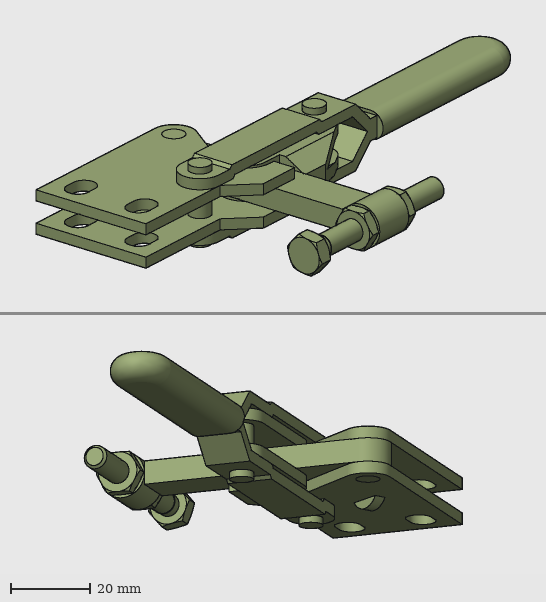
import cadquery as cq
import math


total_length = 152.8
total_width = 76.0
sheet = 3.0
lug_radius = 6.0
pin_radius = 3.0
pin_half_length = 11.0
arm_half = sheet
plate_top = arm_half + sheet
handle_top = plate_top + sheet

base_width = 35.0
base_height = 55.0
tab_right = 43.0
tab_top = 50.9
tab_bottom = 38.0
tab_chamfer_bottom = 30.5
clearance_radius = 7.3
slot_xs = (8.0, 27.2)
slot_y = 8.2
slot_length = 9.3
slot_width = 6.7
disc_radius = 5.2
disc_bottom = -8.5
disc_x, disc_y = 12.2, 29.0
disc_angle = 59.0

arm_pivot = (lug_radius, base_height - lug_radius)
handle_x = base_width - lug_radius
handle_pivot = (handle_x, 30.0)
link_low_pivot = (handle_x, arm_pivot[1])
link_high_pivot = (handle_x, 77.0)

web_fold_x = 37.0
web_fold_angle = 30.0
web_corner_y = 63.7

grip_radius = 8.0
grip_half_thickness = 4.0
grip_bottom = 95.0
neck_end = 92.4
leg_bend = math.radians(45)
raise_height = 0.9
raise_top = 72.4
raise_bottom = 34.5

sleeve_radius = 6.0
spindle_x = total_width - sleeve_radius
sleeve_bottom = base_height - 2 * lug_radius
nut_thickness = 3.2
nut_corner_radius = 6.0
bolt_radius = 3.0
shank_radius = 2.9
bolt_top = 74.0
bolt_chamfer = 0.69
thread_bottom = 27.0
head_top = 23.8
head_height = 4.3
head_corner_radius = 5.7
head_turn = 10.0
hex_chamfer = 0.8
chamfer_angle = 30.0


def polar(centre, radius, angle):
    """Point on a circle; the angle is in radians."""
    return (centre[0] + radius * math.cos(angle), centre[1] + radius * math.sin(angle))


def pin(centre, half_length):
    """Round pin along Z, centred on Z = 0."""
    return cq.Workplane("XY").center(*centre).circle(pin_radius).extrude(half_length, both=True)


def both_sides(half):
    """Add the mirror image below Z = 0."""
    return half.union(half.mirror("XY"))


def along_y(x, y):
    """Workplane on the axis (x, z = 0) at height y, extruding towards +Y."""
    return cq.Workplane(cq.Plane(origin=(x, y, 0), xDir=(1, 0, 0), normal=(0, 1, 0)))


def base_plate():
    spacing = link_low_pivot[0] - arm_pivot[0]
    slope = math.asin((lug_radius + clearance_radius) / spacing)
    corner_angle = math.pi / 2 - slope
    hollow_angle = corner_angle - math.pi
    hollow_start = polar(link_low_pivot, clearance_radius, 0)
    return (
        cq.Workplane("XY", origin=(0, 0, arm_half))
        .lineTo(base_width, 0)
        .lineTo(base_width, tab_chamfer_bottom)
        .lineTo(tab_right, tab_bottom)
        .lineTo(tab_right, tab_top)
        .lineTo(hollow_start[0], tab_top)
        .lineTo(*hollow_start)
        .threePointArc(
            polar(link_low_pivot, clearance_radius, hollow_angle / 2),
            polar(link_low_pivot, clearance_radius, hollow_angle),
        )
        .lineTo(*polar(arm_pivot, lug_radius, corner_angle))
        .threePointArc(
            polar(arm_pivot, lug_radius, (corner_angle + math.pi) / 2),
            polar(arm_pivot, lug_radius, math.pi),
        )
        .close()
        .extrude(sheet)
        .cut(pin(arm_pivot, plate_top))
        .cut(
            cq.Workplane("XY")
            .pushPoints([(x, slot_y) for x in slot_xs])
            .slot2D(slot_length, slot_width, 90)
            .extrude(plate_top)
        )
    )


def half_round_lug():
    angle = math.radians(disc_angle)
    axis = cq.Vector(math.cos(angle), math.sin(angle), 0)
    centre = cq.Vector(disc_x, disc_y, disc_bottom + disc_radius)
    disc = cq.Workplane(cq.Solid.makeCylinder(disc_radius, sheet, centre, axis))
    size = 4 * disc_radius
    below_plate = (
        cq.Workplane("XY", origin=(disc_x, disc_y, -plate_top)).rect(size, size).extrude(-size)
    )
    return disc.intersect(below_plate)


def make_base():
    return (
        both_sides(base_plate())
        .union(pin(handle_pivot, pin_half_length))
        .union(half_round_lug())
    )


def make_arm():
    arm_end = spindle_x - sleeve_radius
    bar = (
        cq.Workplane("XY", origin=(0, 0, -arm_half))
        .moveTo(arm_pivot[0], base_height)
        .lineTo(arm_end, base_height)
        .lineTo(arm_end, sleeve_bottom)
        .lineTo(arm_pivot[0], sleeve_bottom)
        .threePointArc((0, arm_pivot[1]), (arm_pivot[0], base_height))
        .close()
        .extrude(2 * arm_half)
    )
    return bar.cut(pin(link_low_pivot, arm_half)).union(pin(arm_pivot, plate_top))


def link_section():
    """Plate and bent web above Z = 0, as a bar along Y."""
    fold = math.radians(web_fold_angle)
    left = handle_x - lug_radius
    inner_fold_x = web_fold_x - sheet * math.tan(fold / 2)
    return (
        cq.Workplane("XZ")
        .moveTo(left, plate_top)
        .lineTo(web_fold_x, plate_top)
        .lineTo(tab_right, plate_top - (tab_right - web_fold_x) * math.tan(fold))
        .lineTo(tab_right, 0)
        .lineTo(inner_fold_x + arm_half / math.tan(fold), 0)
        .lineTo(inner_fold_x, arm_half)
        .lineTo(left, arm_half)
        .close()
        .extrude(-total_length)
    )


def link_outline():
    left = handle_x - lug_radius
    right = handle_x + lug_radius
    run = tab_right - link_high_pivot[0]
    drop = web_corner_y - link_high_pivot[1]
    tangent = math.atan2(drop, run) + math.acos(lug_radius / math.hypot(run, drop))
    low_end = (handle_x, link_low_pivot[1] - lug_radius)
    return (
        cq.Workplane("XY", origin=(0, 0, -plate_top))
        .moveTo(left, link_low_pivot[1])
        .threePointArc(low_end, (right, link_low_pivot[1]))
        .lineTo(right, base_height)
        .lineTo(tab_right, base_height)
        .lineTo(tab_right, web_corner_y)
        .lineTo(*polar(link_high_pivot, lug_radius, tangent))
        .threePointArc(
            polar(link_high_pivot, lug_radius, (tangent + math.pi) / 2),
            (left, link_high_pivot[1]),
        )
        .close()
        .extrude(2 * plate_top)
    )


def make_link():
    return (
        both_sides(link_section())
        .intersect(link_outline())
        .union(pin(link_high_pivot, pin_half_length))
        .union(pin(link_low_pivot, plate_top))
    )


def handle_leg():
    """Upper leg: a sheet with 45 degree bends, rounded at its lower end."""
    miter = sheet * math.tan(leg_bend / 2)
    spread = handle_top - sheet
    low_end = handle_pivot[1] - lug_radius
    outer = [
        (grip_bottom, sheet),
        (neck_end, sheet),
        (neck_end - spread, handle_top),
        (raise_top, handle_top),
        (raise_top - raise_height, handle_top + raise_height),
        (raise_bottom + raise_height, handle_top + raise_height),
        (raise_bottom, handle_top),
        (low_end, handle_top),
    ]
    inner = [
        (low_end, plate_top),
        (raise_bottom + miter, plate_top),
        (raise_bottom + miter + raise_height, plate_top + raise_height),
        (raise_top - miter - raise_height, plate_top + raise_height),
        (raise_top - miter, plate_top),
        (neck_end - miter - spread, plate_top),
        (neck_end - miter, 0),
        (grip_bottom, 0),
    ]
    sheet_bar = (
        cq.Workplane("YZ", origin=(handle_x, 0, 0))
        .polyline(outer + inner)
        .close()
        .extrude(lug_radius, both=True)
    )
    plan = (
        cq.Workplane("XY")
        .moveTo(handle_x - lug_radius, handle_pivot[1])
        .threePointArc((handle_x, low_end), (handle_x + lug_radius, handle_pivot[1]))
        .lineTo(handle_x + lug_radius, grip_bottom)
        .lineTo(handle_x - lug_radius, grip_bottom)
        .close()
        .extrude(pin_half_length)
    )
    return sheet_bar.intersect(plan)


def grip():
    dome_y = total_length - grip_radius
    flat_half = grip_radius - grip_half_thickness
    bar = (
        along_y(handle_x, grip_bottom)
        .slot2D(2 * grip_radius, 2 * grip_half_thickness)
        .extrude(dome_y - grip_bottom)
    )
    dome = (
        cq.Workplane("XZ", origin=(handle_x, dome_y, 0))
        .moveTo(0, -grip_half_thickness)
        .lineTo(flat_half, -grip_half_thickness)
        .threePointArc((grip_radius, 0), (flat_half, grip_half_thickness))
        .lineTo(0, grip_half_thickness)
        .close()
        .revolve(360, (0, 0), (0, 1))
    )
    return bar.union(dome)


def make_handle():
    return (
        both_sides(handle_leg())
        .union(grip())
        .cut(pin(handle_pivot, pin_half_length))
        .cut(pin(link_high_pivot, pin_half_length))
    )


def rod(bottom, top, radius):
    return along_y(spindle_x, bottom).circle(radius).extrude(top - bottom)


def hexagon(bottom, height, corner_radius, turn=0.0):
    """Hexagonal prism along Y with its corners turned off at both ends."""
    prism = along_y(spindle_x, bottom).polygon(6, 2 * corner_radius).extrude(height)
    prism = prism.rotate((spindle_x, 0, 0), (spindle_x, 1, 0), turn)
    drop = hex_chamfer * math.tan(math.radians(chamfer_angle))
    turned = rod(bottom, bottom + height, corner_radius).edges().chamfer(drop, hex_chamfer)
    return prism.intersect(turned)


def make_spindle():
    sleeve = rod(sleeve_bottom, base_height, sleeve_radius)
    thread = rod(thread_bottom, bolt_top, bolt_radius).faces(">Y").chamfer(bolt_chamfer)
    shank = rod(head_top, thread_bottom, shank_radius)
    head = hexagon(head_top - head_height, head_height, head_corner_radius, head_turn)
    spindle = sleeve.union(thread).union(shank).union(head)
    for nut_bottom in (sleeve_bottom - nut_thickness, base_height):
        spindle = spindle.union(hexagon(nut_bottom, nut_thickness, nut_corner_radius))
    return spindle


base = make_base()
arm = make_arm()
link = make_link()
handle = make_handle()
spindle = make_spindle()

result = cq.Compound.makeCompound(
    [body.solids().val() for body in (base, arm, link, handle, spindle)]
)